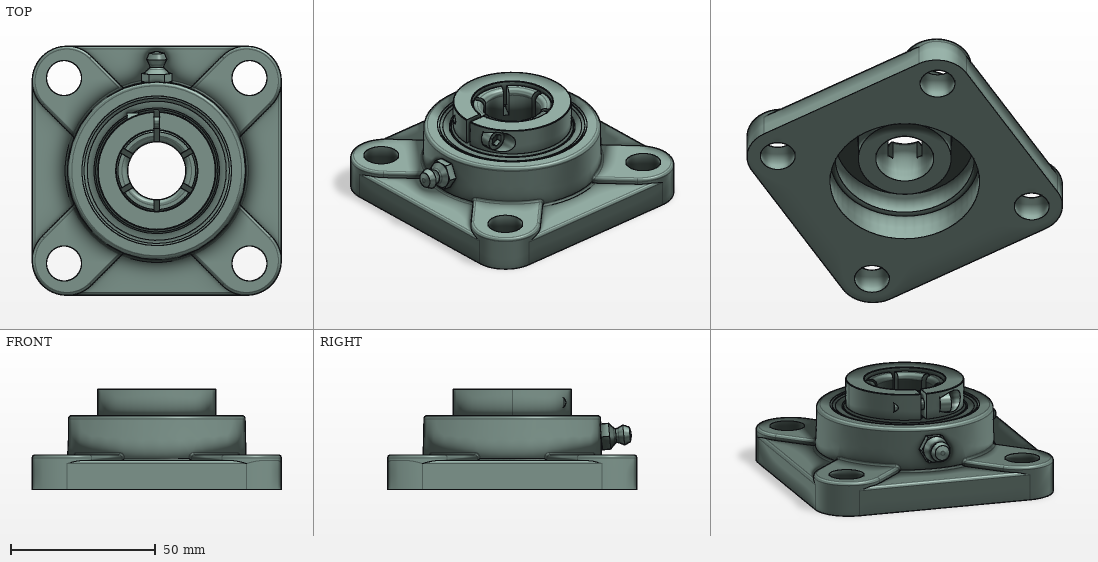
import cadquery as cq
import math

flange_size = 86.0
corner_radius = 12.0
flange_top = 10.0
flange_edge_round = 1.0
pad_top = 12.0
pad_edge_round = 1.0
pad_center = flange_size / 2 - corner_radius
bolt_spacing = 64.0
bolt_hole_diameter = 12.0
boss_top = 25.6
boss_top_radius = 30.5
boss_base_radius = 30.85
boss_edge_round = 1.2
boss_base_round = 0.8
foot_margin = 0.1

seat_diameter = 53.34
bearing_mid_z = 18.85
ring_top = boss_top - 0.1
ring_half_width = ring_top - bearing_mid_z
seal_outer_radius = 24.0
mouth_step_radius = 50.16 / 2
mouth_step_top = ring_top - 0.1
seal_inner_radius = 32.51 / 2
seal_top = ring_top - 0.6
mouth_step_bottom = seal_top + 0.2
seal_thickness = 3.0
flinger_pocket_radius = 21.67
flinger_radius = 21.1
flinger_thickness = 1.2

bore_radius = 20.0 / 2
bore_mouth_round = 2.0
inner_ring_radius = 32.0 / 2
neck_radius = 14.0
neck_chamfer = 0.6
inner_ring_top = 33.5
slot_count = 6
first_slot_angle = 30.0
slot_width = 1.9
slot_floor = 23.7

collar_radius = 40.79 / 2
collar_bottom = boss_top
collar_top = 34.8
collar_chamfer = 0.2
screw_y = 16.5
screw_z = 30.05
screw_head_end = -10.26
screw_head_diameter = 7.0
screw_head_length = 4.0
screw_seat = screw_head_end + screw_head_length
screw_recess_diameter = 7.5
screw_diameter = 4.0
screw_tip = 10.0
socket_across_flats = 4.0
socket_depth = 2.0

nipple_tilt = 5.0
nipple_base_y = 30.7
nipple_base_z = 18.2
shank_diameter = 6.0
shank_length = 2.5
hex_across_flats = 9.0
hex_height = 2.9
neck_cone_end = 4.5
neck_waist = 5.1
neck_end = 6.0
head_widest = 7.8
head_shoulder = 9.9
nipple_length = 10.4
neck_cone_diameter = 5.6
neck_waist_diameter = 4.7
neck_end_diameter = 5.2
head_diameter = 7.0
head_shoulder_diameter = 5.2
nipple_tip_diameter = 1.47


def tube(outer_radius, inner_radius, bottom, top):
    """A plain ring about the Z axis."""
    plane = cq.Workplane("XY").workplane(offset=bottom)
    return plane.circle(outer_radius).circle(inner_radius).extrude(top - bottom)


def turned(points):
    """Solid of revolution about the Z axis from (radius, height) points."""
    return cq.Workplane("XZ").polyline(points).close().revolve(360, (0, 0, 0), (0, 1, 0))


def seat_radius_at(height):
    """Radius of the spherical seat at a height above its middle."""
    return math.sqrt((seat_diameter / 2) ** 2 - height**2)


def seat_ball():
    """Ball that shapes both the housing's seat and the outer ring."""
    return cq.Workplane("XY").sphere(seat_diameter / 2).translate((0, 0, bearing_mid_z))


def hexagon_corners(across_flats):
    """Diameter across the corners of a regular hexagon."""
    return across_flats / math.cos(math.pi / 6)


def make_flange():
    """Square plate with round corners; only its straight upper edges are rounded over."""
    square = cq.Workplane("XY").rect(flange_size, flange_size).extrude(flange_top)
    outline = square.edges("|Z").fillet(corner_radius)
    return square.faces(">Z").edges().fillet(flange_edge_round).intersect(outline)


def make_pad(angle):
    """Raised arm from the center to one rounded corner, with the top edge rounded."""
    arm_length = pad_center * math.sqrt(2)
    arm = (
        cq.Workplane("XY")
        .moveTo(0, -corner_radius)
        .lineTo(arm_length, -corner_radius)
        .threePointArc((arm_length + corner_radius, 0), (arm_length, corner_radius))
        .lineTo(0, corner_radius)
        .close()
        .extrude(pad_top)
    )
    rim = arm.faces(">Z").edges("not <X")
    return rim.fillet(pad_edge_round).rotate((0, 0, 0), (0, 0, 1), angle)


def make_boss():
    """Slightly tapered round boss, solid, with the rim rounded."""
    cone = turned([
        (0, 0),
        (boss_base_radius, 0),
        (boss_base_radius, flange_top),
        (boss_top_radius, boss_top),
        (0, boss_top),
    ])
    return cone.faces(">Z").edges().fillet(boss_edge_round)


def make_housing():
    """Flange, pads and boss with a rounded foot, bored for the bearing and the bolts."""
    housing = make_flange()
    for corner in range(4):
        housing = housing.union(make_pad(45 + 90 * corner))
    housing = housing.union(make_boss())

    foot_reach = boss_base_radius + foot_margin
    foot_selector = cq.selectors.BoxSelector(
        (-foot_reach, -foot_reach, flange_top - foot_margin),
        (foot_reach, foot_reach, pad_top + foot_margin),
        boundingbox=True,
    )
    housing = housing.edges(foot_selector).fillet(boss_base_round)

    bolt_holes = (
        cq.Workplane("XY")
        .rect(bolt_spacing, bolt_spacing, forConstruction=True)
        .vertices()
        .circle(bolt_hole_diameter / 2)
        .extrude(pad_top)
    )
    bore = cq.Workplane("XY").circle(seat_radius_at(boss_top - bearing_mid_z)).extrude(bearing_mid_z)
    return housing.cut(bolt_holes).cut(seat_ball()).cut(bore)


def make_outer_ring():
    """Ring with a spherical outside; its upper mouth steps and tapers down to the seal."""
    blank = tube(seat_diameter / 2, seal_outer_radius, bearing_mid_z - ring_half_width, ring_top)
    mouth = turned([
        (0, seal_top),
        (seal_outer_radius, seal_top),
        (mouth_step_radius, mouth_step_bottom),
        (mouth_step_radius, mouth_step_top),
        (seat_radius_at(ring_half_width), ring_top),
        (0, ring_top),
    ])
    return blank.intersect(seat_ball()).cut(mouth)


def make_seal():
    """Seal with a round pocket on top for the flinger."""
    seal = tube(seal_outer_radius, seal_inner_radius, seal_top - seal_thickness, seal_top)
    return seal.cut(tube(flinger_pocket_radius, seal_inner_radius, seal_top - flinger_thickness, seal_top))


def make_flinger():
    """Flat disc around the inner ring, lying in the seal's pocket."""
    return tube(flinger_radius, inner_ring_radius, seal_top - flinger_thickness, seal_top)


def make_inner_ring():
    """Stepped sleeve whose upper end is split into fingers by radial slots."""
    ring = tube(inner_ring_radius, bore_radius, bearing_mid_z - ring_half_width, collar_bottom)
    ring = ring.union(tube(neck_radius, bore_radius, collar_bottom, inner_ring_top))
    ring = ring.faces(">Z").edges(cq.selectors.RadiusNthSelector(-1)).chamfer(neck_chamfer)
    ring = ring.faces(">Z").edges(cq.selectors.RadiusNthSelector(0)).fillet(bore_mouth_round)
    slot = (
        cq.Workplane("XY")
        .workplane(offset=slot_floor)
        .center(inner_ring_radius / 2, 0)
        .rect(inner_ring_radius + 1, slot_width)
        .extrude(collar_top - slot_floor)
    )
    for index in range(slot_count):
        angle = first_slot_angle + index * 360 / slot_count
        ring = ring.cut(slot.rotate((0, 0, 0), (0, 0, 1), angle))
    return ring


def screw_cylinder(diameter, start, end):
    """Cylinder on the screw's axis, which runs along X."""
    plane = cq.Workplane("YZ", origin=(start, screw_y, screw_z))
    return plane.circle(diameter / 2).extrude(end - start)


def make_collar():
    """Clamp ring with one slit, crossed by the screw's bore and head recess."""
    collar = tube(collar_radius, neck_radius, collar_bottom, collar_top)
    collar = collar.faces(">Z").edges().chamfer(collar_chamfer)
    slit = cq.Workplane("XY").box(
        slot_width, collar_radius + 1, collar_top * 2, centered=(True, False, True)
    )
    collar = collar.cut(slit)
    collar = collar.cut(screw_cylinder(screw_recess_diameter, -collar_radius, screw_seat))
    return collar.cut(screw_cylinder(screw_diameter, screw_seat, screw_tip))


def make_screw():
    """Socket head screw."""
    screw = screw_cylinder(screw_head_diameter, screw_head_end, screw_seat)
    screw = screw.union(screw_cylinder(screw_diameter, screw_seat, screw_tip))
    socket = (
        cq.Workplane("YZ", origin=(screw_head_end, screw_y, screw_z))
        .transformed(rotate=(0, 0, 90))
        .polygon(6, hexagon_corners(socket_across_flats))
        .extrude(socket_depth)
    )
    return screw.cut(socket)


def make_nipple():
    """Grease nipple, built upright and then laid along Y with a small upward tilt."""
    head = turned([
        (0, 0),
        (hex_across_flats / 2, 0),
        (hex_across_flats / 2, hex_height),
        (neck_cone_diameter / 2, neck_cone_end),
        (neck_waist_diameter / 2, neck_waist),
        (neck_end_diameter / 2, neck_end),
        (head_diameter / 2, head_widest),
        (head_shoulder_diameter / 2, head_shoulder),
        (nipple_tip_diameter / 2, nipple_length),
        (0, nipple_length),
    ])
    hexagon = cq.Workplane("XY").polygon(6, hexagon_corners(hex_across_flats)).extrude(hex_height)
    shank = cq.Workplane("XY").circle(shank_diameter / 2).extrude(-shank_length)
    nipple = head.union(hexagon).union(shank)
    laid = nipple.rotate((0, 0, 0), (1, 0, 0), nipple_tilt - 90)
    return laid.translate((0, nipple_base_y, nipple_base_z))


nipple = make_nipple()
housing = make_housing().cut(nipple)
outer_ring = make_outer_ring()
seal = make_seal()
flinger = make_flinger()
inner_ring = make_inner_ring()
collar = make_collar()
screw = make_screw()

result = cq.Compound.makeCompound([
    housing.val(),
    outer_ring.val(),
    seal.val(),
    flinger.val(),
    inner_ring.val(),
    collar.val(),
    screw.val(),
    nipple.val(),
])